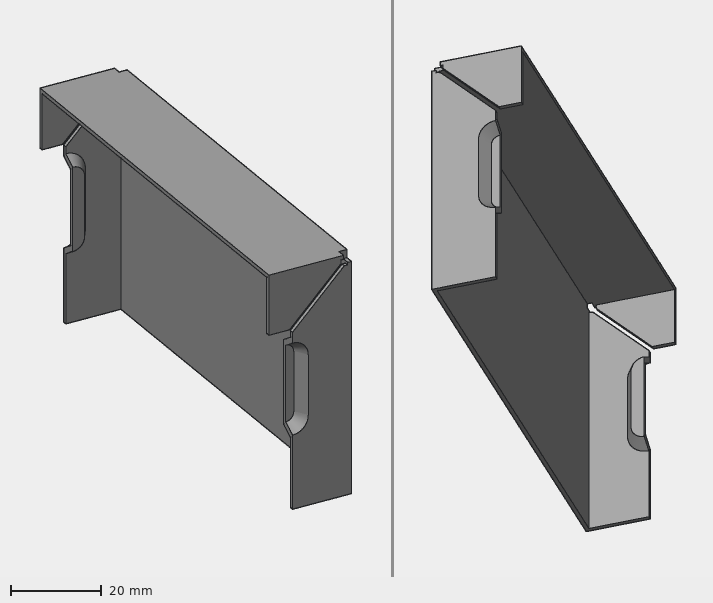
import cadquery as cq
import math

width = 102.0
height = 60.0
thickness = 1.0
wall_depth = 15.0
top_depth = 21.0
flange_height = 15.0
corner_relief = 2.0
plate_setback = 2.7
gap = 1.1

recess_depth = 3.1
recess_mouth_radius = 4.0
recess_floor_radius = 2.0
recess_straight = 15.0

half_width = width / 2
gap_offset = gap / math.sqrt(2)
recess_z = height / 2


def side_plate(points):
    """Plate on the -X side from (Y, Z) corner points."""
    plane = cq.Workplane("YZ", origin=(-half_width, 0, 0))
    return plane.polyline(points).close().extrude(thickness)


def side_wall():
    shoulder_z = height - plate_setback
    return side_plate([
        (0, 0),
        (0, shoulder_z),
        (gap_offset - plate_setback, shoulder_z),
        (-wall_depth, height - wall_depth - gap_offset),
        (-wall_depth, 0),
    ])


def top_flange():
    return side_plate([
        (-plate_setback, height),
        (-plate_setback, height - plate_setback + gap_offset),
        (-flange_height - gap_offset, height - flange_height),
        (-top_depth, height - flange_height),
        (-top_depth, height),
    ])


def dish(inset, mouth_radius, floor_radius):
    """Tapered slot, centred on the wall's front edge and narrowing toward the inside."""
    plane = cq.Workplane("YZ", origin=(-half_width + inset, -wall_depth, recess_z))
    mouth = plane.slot2D(recess_straight + 2 * mouth_radius, 2 * mouth_radius, 90)
    floor = mouth.workplane(offset=recess_depth)
    return floor.slot2D(recess_straight + 2 * floor_radius, 2 * floor_radius, 90).loft(ruled=True)


def recessed_wall():
    shell = dish(thickness, recess_mouth_radius + thickness, recess_floor_radius + thickness)
    behind_edge = cq.Workplane("XY").box(width, wall_depth, height, centered=(True, False, False))
    shell = shell.intersect(behind_edge.translate((0, -wall_depth, 0)))
    cavity = dish(0, recess_mouth_radius, recess_floor_radius)
    return side_wall().union(shell).cut(cavity)


def corner_cube():
    cube = cq.Workplane("XY").box(corner_relief, corner_relief, corner_relief, centered=False)
    return cube.translate((-half_width, -corner_relief, height - corner_relief))


back_panel = cq.Workplane("XY").box(width, thickness, height, centered=(True, False, False))
top_panel = cq.Workplane("XY").box(width, top_depth, thickness, centered=(True, False, False))
result = back_panel.translate((0, -thickness, 0))
result = result.union(top_panel.translate((0, -top_depth, height - thickness)))

left_side = recessed_wall().union(top_flange())
left_corner = corner_cube()
result = result.union(left_side).union(left_side.mirror("YZ"))
result = result.cut(left_corner).cut(left_corner.mirror("YZ"))